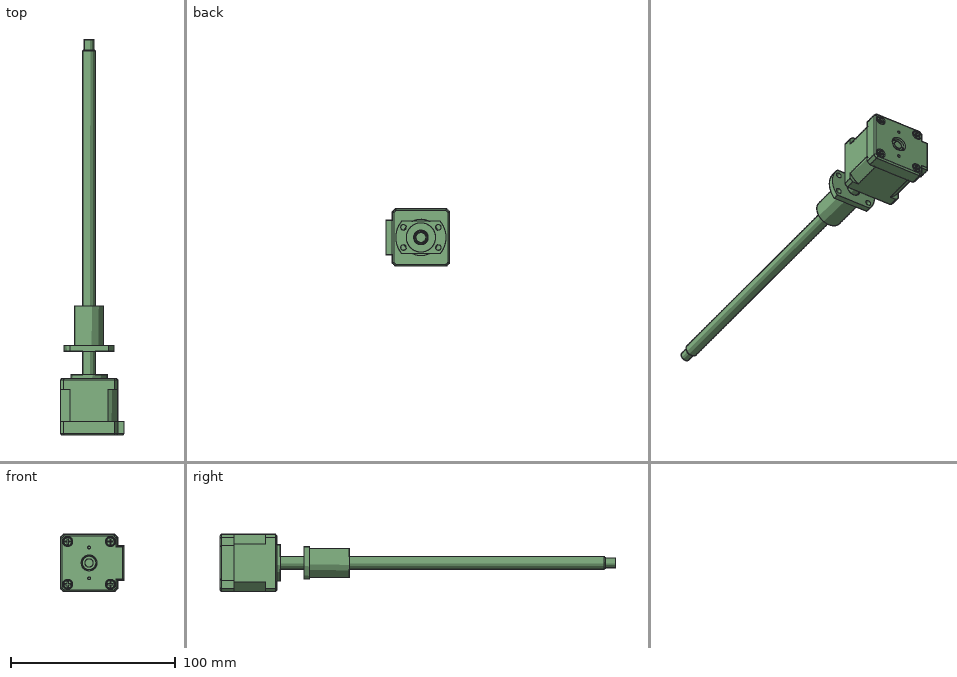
import cadquery as cq
import math


motor_side = 35.0
motor_length = 34.6
cover_length = 8.5
front_cap_length = 7.0
cap_round_radius = 23.3
face_chamfer = 1.0
stator_round_radius = 21.0
boss_diameter = 22.1
boss_height = 2.2

connector_reach = 3.8
connector_width = 21.2

bearing_bore_diameter = 8.2
bearing_bore_chamfer = 0.7
bearing_bore_depth = 2.5
pin_hole_diameter = 1.7
pin_hole_offset = 9.5
pin_hole_depth = 2.5

screw_spacing = 26.0
screw_pocket_diameter = 6.0
screw_recess = 0.5
screw_head_diameter = 4.8
screw_pocket_depth = 3.0
screw_shank_diameter = 3.0
screw_length = 14.5
cross_length = 3.4
cross_width = 0.7
cross_depth = 1.5

shaft_end = 240.5
shaft_diameter = 8.0
shaft_chamfer = 0.7
tip_diameter = 6.0
tip_length = 6.3
journal_diameter = 5.0
journal_start = 1.0

nut_start = 51.0
nut_length = 27.7
nut_diameter = 17.8
nut_bore_chamfer = 0.5
flange_diameter = 30.5
flange_height = 19.7
flange_thickness = 3.5
flange_hole_diameter = 3.4
flange_hole_circle = 24.5
flange_hole_angle = 30.0

screw_places = [
    (x * screw_spacing / 2, z * screw_spacing / 2)
    for x in (-1, 1)
    for z in (-1, 1)
]


def plane_at(y):
    """XZ plane at height y along the axis, extruding toward +Y."""
    return cq.Workplane(cq.Plane(origin=(0, y, 0), xDir=(1, 0, 0), normal=(0, 1, 0)))


def cylinder(diameter, start, end):
    return plane_at(start).circle(diameter / 2).extrude(end - start)


def square_block(start, end):
    return plane_at(start).rect(motor_side, motor_side).extrude(end - start)


def make_screw_blank():
    head = cylinder(screw_head_diameter, screw_recess, screw_pocket_depth)
    shank = cylinder(screw_shank_diameter, screw_recess, screw_length)
    return head.union(shank)


def make_screw(x, z):
    slot = plane_at(screw_recess).rect(cross_length, cross_width).extrude(cross_depth)
    cross = slot.union(slot.rotate((0, 0, 0), (0, 1, 0), 90))
    return make_screw_blank().cut(cross).translate((x, 0, z))


def cut_screw_holes(body):
    pocket = cylinder(screw_pocket_diameter, 0, screw_pocket_depth)
    hole = pocket.union(cylinder(screw_shank_diameter, 0, screw_length))
    for x, z in screw_places:
        body = body.cut(hole.translate((x, 0, z)))
    return body


def make_shaft():
    body = cylinder(shaft_diameter, cover_length, shaft_end - tip_length)
    body = body.faces(">Y").chamfer(shaft_chamfer)
    tip = cylinder(tip_diameter, shaft_end - tip_length, shaft_end)
    journal = cylinder(journal_diameter, journal_start, cover_length)
    return body.union(tip).union(journal)


def make_housing(shaft):
    stator_end = motor_length - front_cap_length
    stator = square_block(cover_length, stator_end)
    stator = stator.intersect(cylinder(2 * stator_round_radius, cover_length, stator_end))
    cap = square_block(stator_end, motor_length)
    cap = cap.intersect(cylinder(2 * cap_round_radius, stator_end, motor_length))
    cap = cap.faces(">Y").chamfer(face_chamfer)
    boss = cylinder(boss_diameter, motor_length, motor_length + boss_height)
    return cut_screw_holes(stator.union(cap).union(boss).cut(shaft))


def make_cover(shaft):
    connector_end = motor_side / 2 + connector_reach
    connector = (
        plane_at(0)
        .center(connector_end / 2, 0)
        .rect(connector_end, connector_width)
        .extrude(cover_length)
    )
    cover = square_block(0, cover_length)
    cover = cover.intersect(cylinder(2 * cap_round_radius, 0, cover_length))
    cover = cover.union(connector).faces("<Y").chamfer(face_chamfer)
    bore = cylinder(bearing_bore_diameter, 0, bearing_bore_depth)
    mouth_radius = bearing_bore_diameter / 2 + bearing_bore_chamfer
    mouth = plane_at(0).circle(mouth_radius).extrude(bearing_bore_chamfer, taper=45)
    cover = cover.cut(bore).cut(mouth).cut(shaft)
    hole = cylinder(pin_hole_diameter, 0, pin_hole_depth)
    for side in (-1, 1):
        cover = cover.cut(hole.translate((0, 0, side * pin_hole_offset)))
    return cut_screw_holes(cover)


def make_nut():
    flange_end = nut_start + flange_thickness
    nut_end = nut_start + nut_length
    flats = plane_at(nut_start).rect(flange_diameter, flange_height).extrude(flange_thickness)
    flange = cylinder(flange_diameter, nut_start, flange_end).intersect(flats)

    hole_x = flange_hole_circle / 2 * math.cos(math.radians(flange_hole_angle))
    hole_z = flange_hole_circle / 2 * math.sin(math.radians(flange_hole_angle))
    hole = cylinder(flange_hole_diameter, nut_start, flange_end)
    for x in (-hole_x, hole_x):
        for z in (-hole_z, hole_z):
            flange = flange.cut(hole.translate((x, 0, z)))

    sleeve = cylinder(nut_diameter, nut_start, nut_end)
    bore = cylinder(shaft_diameter, nut_start, nut_end)
    mouths = sleeve.cut(bore).edges(cq.selectors.RadiusNthSelector(0))
    bored_sleeve = mouths.chamfer(nut_bore_chamfer)
    return flange.cut(sleeve).union(bored_sleeve)


shaft = make_shaft()
housing = make_housing(shaft)
cover = make_cover(shaft)
nut = make_nut()
screws = [make_screw(x, z) for x, z in screw_places]

result = cq.Compound.makeCompound(
    [housing.val(), cover.val(), shaft.val(), nut.val(), *[screw.val() for screw in screws]]
)